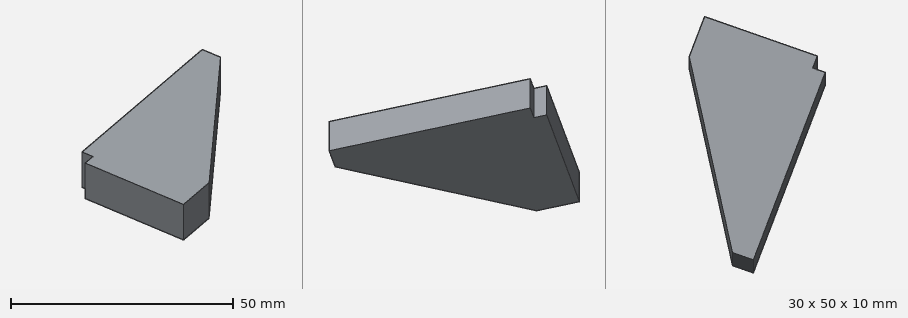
import cadquery as cq

width = 30.0
length = 50.0
thickness = 10.0

tip_width = 5.0
heel_length = 10.0

notch = 3.0

outline = [
    (notch, 0),
    (width, 0),
    (width, heel_length),
    (tip_width, length),
    (0, length),
    (0, notch),
    (notch, notch),
]

result = cq.Workplane("XY").polyline(outline).close().extrude(thickness)